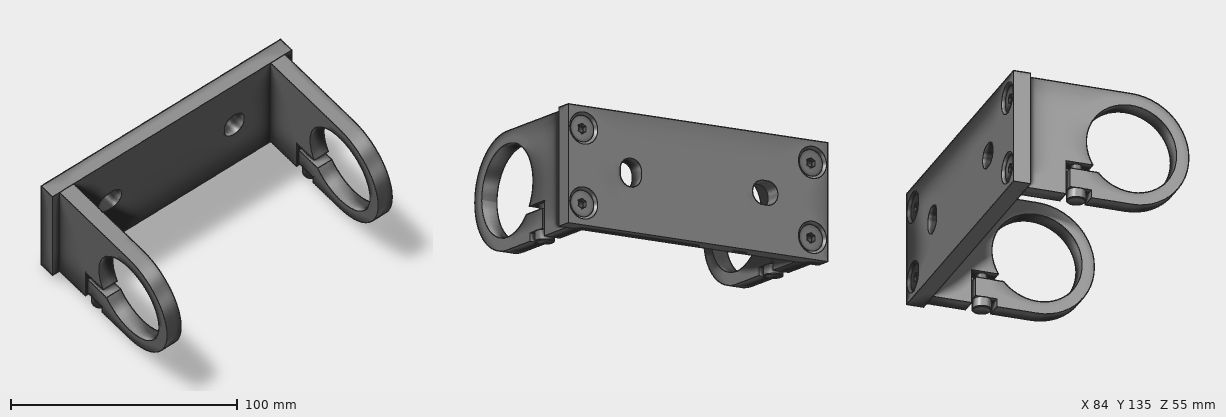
import cadquery as cq
import math

plate_length = 135.0
plate_thickness = 8.0
height = 54.0
mid_height = height / 2

slot_offset = 35.0
slot_width = 11.1
slot_length = 13.1

clamp_width = 8.0
clamp_offset = 59.5
ring_radius = height / 2
ring_x = 57.0
bore_diameter = 42.4

web_end_x = 26.2
lip_start_x = 28.0
lip_top = 12.8
split_top = 16.0
lip_seat = 3.8
seat_end_x = 38.1

clamp_screw_x = 32.4
clamp_screw_diameter = 5.0
clamp_screw_length = 16.0
clamp_head_diameter = 8.5
clamp_head_drop = 1.0
clamp_head_chamfer = 0.4

plate_screw_spacing = 34.0
countersink_diameter = 14.6
flat_head_diameter = 12.0
plate_screw_diameter = 6.0
plate_screw_tip_x = 20.0
socket_flats = 4.0
socket_depth = 2.5
socket_point_depth = 1.4

flat_head_x = (countersink_diameter - flat_head_diameter) / 2
flat_head_end_x = (countersink_diameter - plate_screw_diameter) / 2

clamp_places = [-clamp_offset, clamp_offset]
plate_screw_heights = [
    mid_height - plate_screw_spacing / 2,
    mid_height + plate_screw_spacing / 2,
]


def box(x_start, x_end, y_middle, width, z_start, z_end):
    """Block between two X and two Z positions, centred on y_middle."""
    size_x = x_end - x_start
    size_z = z_end - z_start
    block = cq.Workplane("XY").box(size_x, width, size_z, centered=(False, True, False))
    return block.translate((x_start, y_middle, z_start))


def plate_screw_blank(y, z, start_x):
    """Countersunk screw shape along X, whose cone is cut off flat at start_x."""
    face_radius = countersink_diameter / 2 - start_x
    shank_radius = plate_screw_diameter / 2
    blank = (
        cq.Workplane("XY")
        .moveTo(start_x, 0)
        .lineTo(start_x, face_radius)
        .lineTo(flat_head_end_x, shank_radius)
        .lineTo(plate_screw_tip_x, shank_radius)
        .lineTo(plate_screw_tip_x, 0)
        .close()
        .revolve(360, (0, 0, 0), (1, 0, 0))
    )
    return blank.translate((0, y, z))


def make_plate_screw(y, z):
    """Countersunk screw with a hexagonal socket that ends in a conical point."""
    across_corners = socket_flats / math.cos(math.pi / 6)
    hexagon = (
        cq.Workplane("YZ", origin=(flat_head_x, y, z))
        .transformed(rotate=(0, 0, 90))
        .polygon(6, across_corners)
        .extrude(socket_depth)
    )
    point = cq.Solid.makeCone(
        socket_flats / 2, 0, socket_point_depth,
        pnt=cq.Vector(flat_head_x + socket_depth, y, z),
        dir=cq.Vector(1, 0, 0),
    )
    return plate_screw_blank(y, z, flat_head_x).cut(hexagon).cut(cq.Workplane(point))


def make_clamp_screw(y):
    """Cylinder-head screw that points up through the lip into the web."""
    head_height = lip_seat + clamp_head_drop
    head = (
        cq.Workplane("XY", origin=(clamp_screw_x, y, -clamp_head_drop))
        .circle(clamp_head_diameter / 2)
        .extrude(head_height)
        .faces("<Z")
        .chamfer(clamp_head_chamfer)
    )
    shank = (
        cq.Workplane("XY", origin=(clamp_screw_x, y, lip_seat))
        .circle(clamp_screw_diameter / 2)
        .extrude(clamp_screw_length)
    )
    return head.union(shank)


def make_mounting_slot(y, angle):
    """Through cutter for a round-ended slot; angle 0 lies along Y, 90 stands along Z."""
    return (
        cq.Workplane("YZ", origin=(0, y, mid_height))
        .slot2D(slot_length, slot_width, angle)
        .extrude(plate_thickness)
    )


def make_plate():
    """Back plate with two crossed mounting slots and four countersunk holes."""
    plate = box(0, plate_thickness, 0, plate_length, 0, height)
    plate = plate.cut(make_mounting_slot(-slot_offset, 0))
    plate = plate.cut(make_mounting_slot(slot_offset, 90))
    for y in clamp_places:
        for z in plate_screw_heights:
            plate = plate.cut(plate_screw_blank(y, z, 0))
    return plate


def make_clamp(y):
    """Web ending in a split ring, with a lip that the clamp screw pulls upwards."""
    web = box(plate_thickness, ring_x, y, clamp_width, 0, height)
    ring_plane = cq.Workplane("XZ", origin=(ring_x, y, mid_height))
    ring = ring_plane.circle(ring_radius).extrude(clamp_width / 2, both=True)
    bore = ring_plane.circle(bore_diameter / 2).extrude(clamp_width / 2, both=True)

    split = box(web_end_x, ring_x, y, clamp_width, lip_top, split_top)
    lip_gap = box(web_end_x, lip_start_x, y, clamp_width, 0, split_top)
    head_relief = box(lip_start_x, seat_end_x, y, clamp_width, 0, lip_seat)

    clamp = web.union(ring).cut(bore).cut(split).cut(lip_gap).cut(head_relief)
    clamp = clamp.cut(make_clamp_screw(y))
    for z in plate_screw_heights:
        clamp = clamp.cut(plate_screw_blank(y, z, 0))
    return clamp


plate = make_plate()
clamps = [make_clamp(y) for y in clamp_places]
clamp_screws = [make_clamp_screw(y) for y in clamp_places]
plate_screws = [make_plate_screw(y, z) for y in clamp_places for z in plate_screw_heights]

bodies = [plate, *clamps, *clamp_screws, *plate_screws]
result = cq.Compound.makeCompound([body.val() for body in bodies])